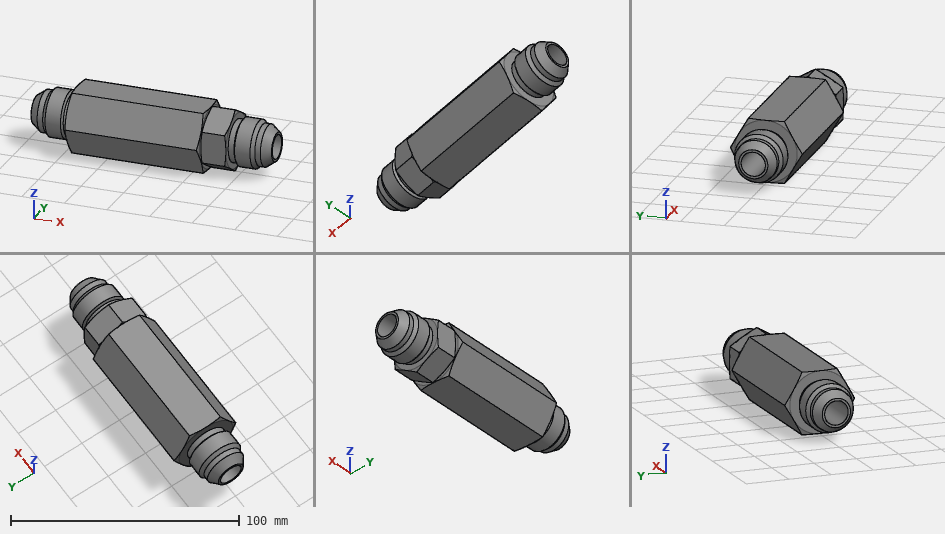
import cadquery as cq
import math

TOTAL_LENGTH = 113.0
JOINT_X = 82.2
BORE_DIAMETER = 11.1

TIP_DIAMETER = 13.3
LAND_DIAMETER = 19.3
THREAD_DIAMETER = 22.3
NECK_DIAMETER = 19.7
NOSE_END = 4.1
LAND_END = 6.7
THREAD_START = 8.4
THREAD_END = 15.6
NECK_START = 16.4
TUBE_END_LENGTH = 19.1

HOUSING_CORNERS = 33.0
HOUSING_CHAMFER = 0.7
ADAPTER_CORNERS = 29.3
ADAPTER_CHAMFER = 0.6

HOUSING_HEX_LENGTH = JOINT_X - TUBE_END_LENGTH
ADAPTER_HEX_LENGTH = TOTAL_LENGTH - TUBE_END_LENGTH - JOINT_X


def tube_end():
    """Flared tube end with its tip at X = 0, pointing toward -X."""
    profile = [
        (0, 0),
        (0, TIP_DIAMETER / 2),
        (NOSE_END, LAND_DIAMETER / 2),
        (LAND_END, LAND_DIAMETER / 2),
        (THREAD_START, THREAD_DIAMETER / 2),
        (THREAD_END, THREAD_DIAMETER / 2),
        (NECK_START, NECK_DIAMETER / 2),
        (TUBE_END_LENGTH, NECK_DIAMETER / 2),
        (TUBE_END_LENGTH, 0),
    ]
    return cq.Workplane("XY").polyline(profile).close().revolve(360, (0, 0), (1, 0))


def chamfered_hex(corners, length, chamfer, start_x, turn):
    """Hexagonal bar along X whose corners are turned down conically at both ends."""
    prism = cq.Workplane("YZ").polygon(6, corners).extrude(length)
    prism = prism.rotate((0, 0, 0), (1, 0, 0), turn)
    corner_radius = corners / 2
    face_radius = corner_radius * math.cos(math.pi / 6)
    envelope = (
        cq.Workplane("XY")
        .polyline([
            (0, 0),
            (0, face_radius),
            (chamfer, corner_radius),
            (length - chamfer, corner_radius),
            (length, face_radius),
            (length, 0),
        ])
        .close()
        .revolve(360, (0, 0), (1, 0))
    )
    return prism.intersect(envelope).translate((start_x, 0, 0))


def through_bore():
    return cq.Workplane("YZ").circle(BORE_DIAMETER / 2).extrude(TOTAL_LENGTH)


def make_housing():
    """Long hexagonal housing with the left tube end; corners point along Y."""
    body = chamfered_hex(HOUSING_CORNERS, HOUSING_HEX_LENGTH, HOUSING_CHAMFER, TUBE_END_LENGTH, 0)
    return body.union(tube_end()).cut(through_bore())


def make_adapter():
    """Short hexagonal adapter with the right tube end; corners point along Z."""
    body = chamfered_hex(ADAPTER_CORNERS, ADAPTER_HEX_LENGTH, ADAPTER_CHAMFER, JOINT_X, 90)
    right_end = tube_end().mirror("YZ").translate((TOTAL_LENGTH, 0, 0))
    return body.union(right_end).cut(through_bore())


housing = make_housing()
adapter = make_adapter()

result = cq.Compound.makeCompound([housing.val(), adapter.val()])